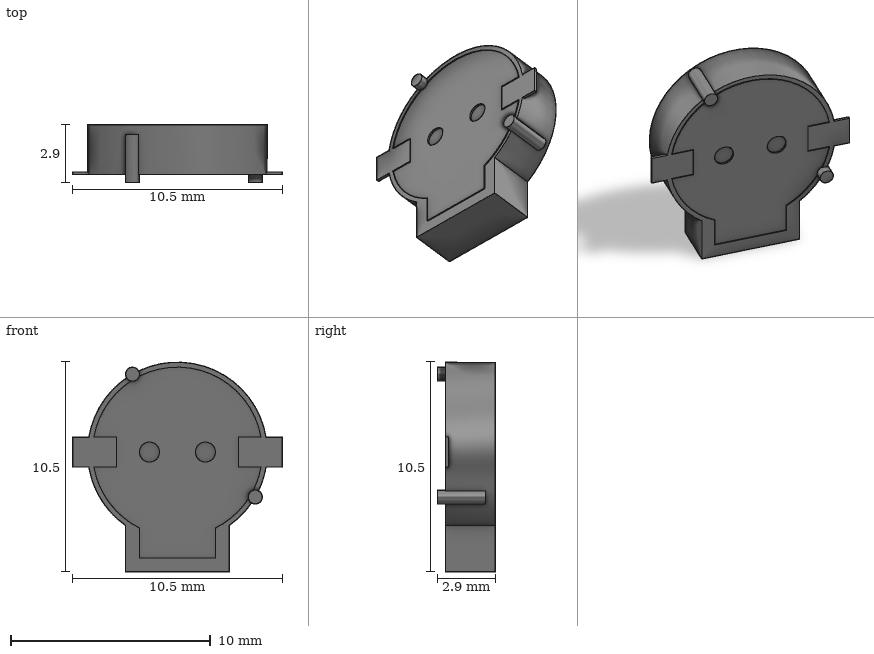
import cadquery as cq
import math

BODY_RADIUS = 4.5
BODY_DEPTH = 2.5
OUTLET_WIDTH = 5.2
OUTLET_REACH = 6.0

RECESS_DEPTH = 0.05
DISC_RIM = 0.25
OUTLET_RIM = 0.7

HOLE_RADIUS = 0.5
HOLE_SPACING = 2.8
HOLE_DEPTH = 0.1

PAD_SPAN = 10.5
PAD_LENGTH = 2.2
PAD_HEIGHT = 1.5
PAD_THICKNESS = 0.14

PIN_RADIUS = 0.35
PIN_PROTRUSION = 0.4
PIN_EMBEDDED = 2.0
PIN_ANGLES = (120, -30)


def plane_at(y):
    """XZ sketch plane at the given Y, with extrusion running towards +Y."""
    return cq.Workplane(cq.Plane(origin=(0, y, 0), xDir=(1, 0, 0), normal=(0, 1, 0)))


def cylinder(x, z, radius, y_start, length):
    """Round bar along Y, from y_start towards +Y."""
    return plane_at(y_start).center(x, -z).circle(radius).extrude(length)


def keyhole(radius, width, reach, depth):
    """Disc with a rectangular outlet reaching down from its centre."""
    disc = cylinder(0, 0, radius, 0, depth)
    outlet = cq.Workplane("XY").box(width, depth, reach, centered=(True, False, False))
    return disc.union(outlet.translate((0, 0, -reach)))


def make_housing():
    body = keyhole(BODY_RADIUS, OUTLET_WIDTH, OUTLET_REACH, BODY_DEPTH)
    recess = keyhole(
        BODY_RADIUS - DISC_RIM,
        OUTLET_WIDTH - 2 * OUTLET_RIM,
        OUTLET_REACH - OUTLET_RIM,
        RECESS_DEPTH,
    )
    return body.cut(recess)


def make_hole(side):
    return cylinder(side * HOLE_SPACING / 2, 0, HOLE_RADIUS, 0, RECESS_DEPTH + HOLE_DEPTH)


def make_pad(side):
    pad = cq.Workplane("XY").box(PAD_LENGTH, PAD_THICKNESS, PAD_HEIGHT, centered=(True, False, True))
    return pad.translate((side * (PAD_SPAN - PAD_LENGTH) / 2, 0, 0))


def make_pin(angle):
    x = BODY_RADIUS * math.cos(math.radians(angle))
    z = BODY_RADIUS * math.sin(math.radians(angle))
    return cylinder(x, z, PIN_RADIUS, -PIN_PROTRUSION, PIN_PROTRUSION + PIN_EMBEDDED)


result = make_housing()
for side in (-1, 1):
    result = result.cut(make_hole(side)).union(make_pad(side))
for angle in PIN_ANGLES:
    result = result.union(make_pin(angle))